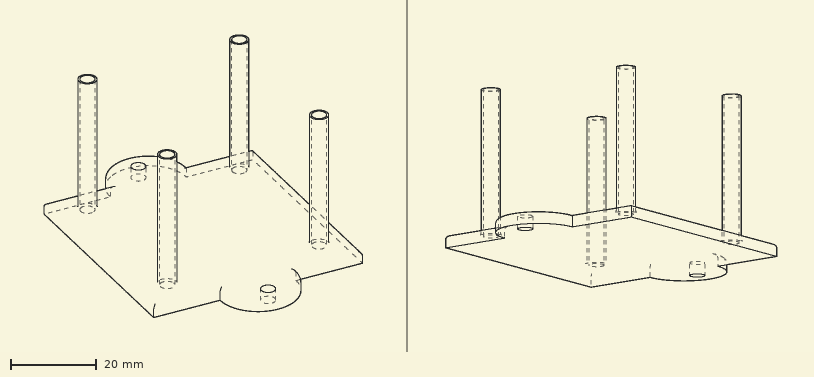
import cadquery as cq

overall_length = 75
plate_side = 55.0
plate_thickness = 3
edge_round = 1.0

ear_radius = (overall_length - plate_side) / 2
ear_center_x = plate_side / 2
ear_hole_diameter = 3.5
ear_hole_spacing = 65.0

overall_height = 38.0
post_diameter = 4.5
post_bore_diameter = 3.5
post_spacing = 40.0
post_base_fillet = 1.0
post_height = overall_height - plate_thickness


def make_base():
    """Square plate with two ears, rounded along its whole top edge."""
    plate = cq.Workplane("XY").rect(plate_side, plate_side).extrude(plate_thickness)
    ears = (
        cq.Workplane("XY")
        .pushPoints([(-ear_center_x, 0), (ear_center_x, 0)])
        .circle(ear_radius)
        .extrude(plate_thickness)
    )
    return plate.union(ears).faces(">Z").edges().fillet(edge_round)


def add_posts(base):
    """Four posts in a square pattern, filleted where they meet the plate."""
    posts = (
        cq.Workplane("XY", origin=(0, 0, plate_thickness))
        .rarray(post_spacing, post_spacing, 2, 2)
        .circle(post_diameter / 2)
        .extrude(post_height)
    )
    foot_edges = cq.selectors.BoxSelector(
        (-post_spacing, -post_spacing, plate_thickness - edge_round / 2),
        (post_spacing, post_spacing, plate_thickness + edge_round / 2),
    )
    return base.union(posts).edges("%CIRCLE").edges(foot_edges).fillet(post_base_fillet)


def bore_posts(body):
    """Blind bores from the post tops down to the plate's upper face."""
    bores = (
        cq.Workplane("XY", origin=(0, 0, plate_thickness))
        .rarray(post_spacing, post_spacing, 2, 2)
        .circle(post_bore_diameter / 2)
        .extrude(post_height)
    )
    return body.cut(bores)


def drill_ears(body):
    """One through hole in each ear."""
    holes = (
        cq.Workplane("XY")
        .rarray(ear_hole_spacing, 0.75, 2, 1)
        .circle(ear_hole_diameter / 2)
        .extrude(plate_thickness)
    )
    return body.cut(holes)


result = drill_ears(bore_posts(add_posts(make_base())))